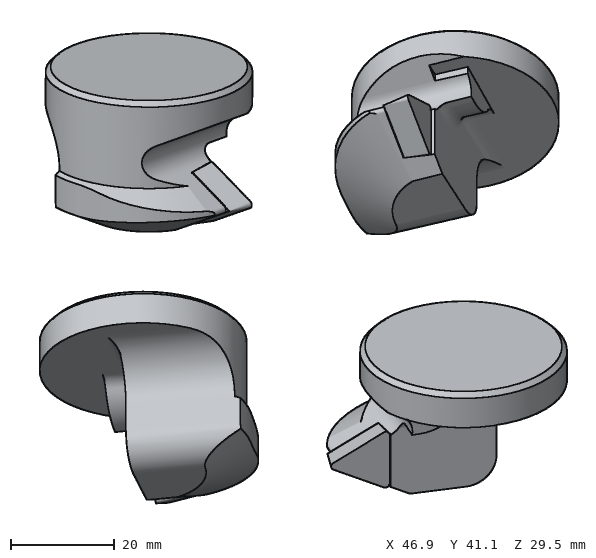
import cadquery as cq
import math

FLANK_ANGLE = 27.5
SLOPE = math.tan(math.radians(FLANK_ANGLE))
SIN_FLANK = math.sin(math.radians(FLANK_ANGLE))
COS_FLANK = math.cos(math.radians(FLANK_ANGLE))
RAKE_TILT = 2.7
FRONT_TILT = 1.3
TIP_X = 26.9
TIP_Z = -21.82

DISC_RADIUS = 20.0
DISC_THICKNESS = 7.35
DISC_CHAMFER = 1.0

HEIGHT = 29.51
STEM_LEFT_X = -6.0
NECK_RADIUS = 10.0
NECK_END_Z = -DISC_THICKNESS - NECK_RADIUS
HEEL_RADIUS = 6.14
HEAD_TOP_Z = -17.73
HEAD_RADIUS = 21.08
HEAD_BOTTOM_RADIUS = 12.15
SWEEP_RADIUS = 20.0
SWEEP_CENTER_X = 6.4
FACE_OFFSET = 0.72

NOSE_RADIUS = 0.8
NOSE_X = 25.15
NOTCH_RADIUS = 4.0
NOTCH_MOUTH_Z = -6.3

INSERT_HALF_HEIGHT = 6.07
INSERT_BACK_X = 15.17
INSERT_THICKNESS = 5.45
INSERT_RELIEF = 8.0

BOSS_END_Y = 8.0
BOSS_BOTTOM_Z = -13.25
BOSS_RADIUS = 10.0
BOSS_BLEND_RADIUS = 3.83
BOSS_BOTTOM_X = 11.5
BOSS_RIGHT_X = 15.0
BOSS_ROOT_FILLET = 1.8

SELECT_MARGIN = 0.2
FAR = 60.0


def apex_of(nose_x):
    """X where the flanks behind a rounded nose would meet in a sharp point."""
    return nose_x + NOSE_RADIUS * (1 / SIN_FLANK - 1)


def flank_x(nose_x, rise):
    """X on a flank at the given height above or below the tip."""
    return apex_of(nose_x) - rise / SLOPE


def nose_tangent(nose_x):
    """X and half height of the points where the nose arc meets the flanks."""
    return (nose_x - NOSE_RADIUS * (1 - SIN_FLANK), NOSE_RADIUS * COS_FLANK)


def tilt(shape, angle):
    """Turn a shape clockwise about the vertical line through the cutting tip."""
    return shape.rotate((TIP_X, 0, 0), (TIP_X, 0, 1), -angle)


def make_disc():
    disc = cq.Workplane("XY").circle(DISC_RADIUS).extrude(-DISC_THICKNESS)
    return disc.faces(">Z").chamfer(DISC_CHAMFER)


def make_head():
    """Two cones coaxial with the disc, trimmed to the outline of the head."""
    apex_z = ((DISC_RADIUS - HEAD_BOTTOM_RADIUS) * SLOPE + HEAD_TOP_Z - HEIGHT) / 2
    apex_radius = DISC_RADIUS + (HEAD_TOP_Z - apex_z) / SLOPE
    cones = (
        cq.Workplane("XZ")
        .moveTo(0, HEAD_TOP_Z)
        .lineTo(DISC_RADIUS, HEAD_TOP_Z)
        .lineTo(apex_radius, apex_z)
        .lineTo(HEAD_BOTTOM_RADIUS, -HEIGHT)
        .lineTo(0, -HEIGHT)
        .close()
        .revolve(360, (0, 0), (0, 1))
    )
    sweep_center_y = SWEEP_RADIUS - HEAD_RADIUS
    diagonal = math.sqrt(0.5)
    outline = (
        cq.Workplane("XY")
        .moveTo(-HEAD_RADIUS, 0)
        .threePointArc((-HEAD_RADIUS * diagonal, -HEAD_RADIUS * diagonal), (0, -HEAD_RADIUS))
        .lineTo(SWEEP_CENTER_X, -HEAD_RADIUS)
        .threePointArc(
            (SWEEP_CENTER_X + SWEEP_RADIUS * diagonal, sweep_center_y - SWEEP_RADIUS * diagonal),
            (SWEEP_CENTER_X + SWEEP_RADIUS, sweep_center_y),
        )
        .lineTo(SWEEP_CENTER_X + SWEEP_RADIUS, DISC_RADIUS)
        .lineTo(-HEAD_RADIUS, DISC_RADIUS)
        .close()
        .extrude(-HEIGHT)
    )
    return cones.intersect(outline)


def make_side_limit():
    """Prism along Y with the concave neck and the round heel on its left side."""
    diagonal = math.sqrt(0.5)
    neck_center_x = STEM_LEFT_X - NECK_RADIUS
    heel_center_x = STEM_LEFT_X + HEEL_RADIUS
    heel_center_z = HEEL_RADIUS - HEIGHT
    return (
        cq.Workplane("XZ", origin=(0, FAR, 0))
        .moveTo(neck_center_x, -DISC_THICKNESS)
        .threePointArc(
            (neck_center_x + NECK_RADIUS * diagonal, NECK_END_Z + NECK_RADIUS * diagonal),
            (STEM_LEFT_X, NECK_END_Z),
        )
        .lineTo(STEM_LEFT_X, heel_center_z)
        .threePointArc(
            (heel_center_x - HEEL_RADIUS * diagonal, heel_center_z - HEEL_RADIUS * diagonal),
            (heel_center_x, -HEIGHT),
        )
        .lineTo(FAR, -HEIGHT)
        .lineTo(FAR, -DISC_THICKNESS)
        .close()
        .extrude(2 * FAR)
    )


def make_front_cut():
    """Everything to the right of the chip notch, the flanks and the nose."""
    mouth_rise = NOTCH_MOUTH_Z - TIP_Z
    vertex_x = (DISC_RADIUS + apex_of(NOSE_X) - mouth_rise / SLOPE) / 2
    vertex_z = NOTCH_MOUTH_Z - (DISC_RADIUS - vertex_x) * SLOPE
    center_x = vertex_x + NOTCH_RADIUS / SIN_FLANK
    tangent_x = center_x - NOTCH_RADIUS * SIN_FLANK
    tangent_rise = NOTCH_RADIUS * COS_FLANK
    nose_x, nose_rise = nose_tangent(NOSE_X)
    beyond_front = (
        cq.Workplane("XZ", origin=(0, FAR, 0))
        .moveTo(FAR, vertex_z + (FAR - vertex_x) * SLOPE)
        .lineTo(tangent_x, vertex_z + tangent_rise)
        .threePointArc((center_x - NOTCH_RADIUS, vertex_z), (tangent_x, vertex_z - tangent_rise))
        .lineTo(nose_x, TIP_Z + nose_rise)
        .threePointArc((NOSE_X, TIP_Z), (nose_x, TIP_Z - nose_rise))
        .lineTo(flank_x(NOSE_X, FAR), TIP_Z - FAR)
        .lineTo(FAR, TIP_Z - FAR)
        .close()
        .extrude(2 * FAR)
    )
    return tilt(beyond_front, FRONT_TILT)


def make_back_cut():
    """Space behind the stem, stepped down to the rake face in front of the insert back."""
    behind_stem = cq.Workplane("XY").box(4 * FAR, FAR, FAR, centered=(True, False, False))
    behind_stem = behind_stem.translate((0, FACE_OFFSET, -DISC_THICKNESS - FAR))
    above_rake = cq.Workplane("XY").box(FAR, FAR, FAR, centered=(False, False, False))
    above_rake = above_rake.translate((INSERT_BACK_X, 0, TIP_Z + INSERT_HALF_HEIGHT - FAR))
    return tilt(behind_stem.union(above_rake), RAKE_TILT)


def make_boss():
    """Short block under the disc behind the stem, its left side a concave then a convex arc."""
    drop = -DISC_THICKNESS - BOSS_BOTTOM_Z
    turn = math.acos(1 - drop / (BOSS_BLEND_RADIUS + BOSS_RADIUS))
    joint_x = BOSS_BOTTOM_X - BOSS_RADIUS * math.sin(turn)
    joint_z = BOSS_BOTTOM_Z + BOSS_RADIUS * (1 - math.cos(turn))
    blend_start_x = joint_x - BOSS_BLEND_RADIUS * math.sin(turn)
    blend_mid = (
        blend_start_x + BOSS_BLEND_RADIUS * math.sin(turn / 2),
        -DISC_THICKNESS - BOSS_BLEND_RADIUS * (1 - math.cos(turn / 2)),
    )
    belly_mid = (
        BOSS_BOTTOM_X - BOSS_RADIUS * math.sin(turn / 2),
        BOSS_BOTTOM_Z + BOSS_RADIUS * (1 - math.cos(turn / 2)),
    )
    return (
        cq.Workplane("XZ", origin=(0, BOSS_END_Y, 0))
        .moveTo(blend_start_x, -DISC_THICKNESS)
        .threePointArc(blend_mid, (joint_x, joint_z))
        .threePointArc(belly_mid, (BOSS_BOTTOM_X, BOSS_BOTTOM_Z))
        .lineTo(BOSS_RIGHT_X, BOSS_BOTTOM_Z)
        .lineTo(BOSS_RIGHT_X, -DISC_THICKNESS)
        .close()
        .extrude(BOSS_END_Y)
    )


def make_insert():
    """Triangular plate with round corners and drafted sides, its rake face turned towards +Y."""
    tip_apex_x = apex_of(TIP_X)
    half_back = (tip_apex_x - INSERT_BACK_X) * SLOPE
    corners = [
        (tip_apex_x, TIP_Z),
        (INSERT_BACK_X, TIP_Z + half_back),
        (INSERT_BACK_X, TIP_Z - half_back),
        (tip_apex_x, TIP_Z),
    ]
    triangle = cq.Sketch().polygon(corners).vertices().fillet(NOSE_RADIUS)
    plate = cq.Workplane("XZ").placeSketch(triangle).extrude(INSERT_THICKNESS, taper=INSERT_RELIEF)
    return tilt(plate, RAKE_TILT)


def make_holder(insert):
    stem = cq.Workplane("XY").circle(DISC_RADIUS).extrude(HEAD_TOP_Z)
    stem = stem.union(make_head()).intersect(make_side_limit()).cut(make_back_cut())
    holder = make_disc().union(stem).union(make_boss())
    boss_root = cq.selectors.BoxSelector(
        (0, 0, BOSS_BOTTOM_Z - SELECT_MARGIN),
        (BOSS_RIGHT_X - SELECT_MARGIN, BOSS_END_Y / 2, -DISC_THICKNESS - SELECT_MARGIN),
    )
    holder = holder.edges(boss_root).fillet(BOSS_ROOT_FILLET).cut(make_front_cut())
    return holder.cut(insert)


insert = make_insert()
holder = make_holder(insert)

result = cq.Compound.makeCompound([*holder.solids().vals(), insert.val()])